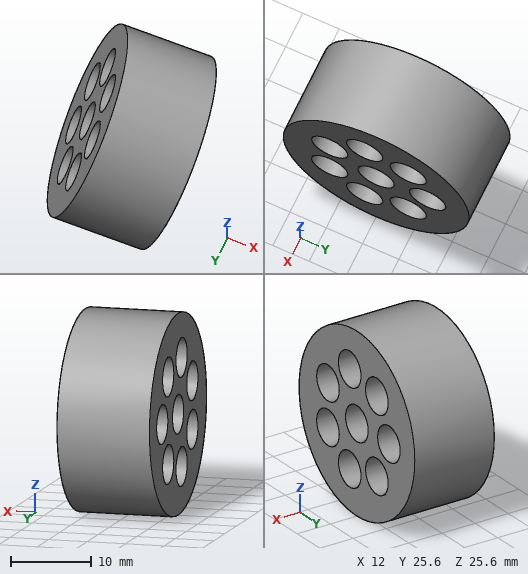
import cadquery as cq

disc_diameter = 25.6
disc_thickness = 12.0

hole_diameter = 5.0
ring_radius = 7.1
ring_hole_count = 7

disc = cq.Workplane("YZ").circle(disc_diameter / 2).extrude(disc_thickness)

center_hole = cq.Workplane("YZ").circle(hole_diameter / 2).extrude(disc_thickness)

ring_holes = (
    cq.Workplane("YZ")
    .polarArray(ring_radius, 0, 360, ring_hole_count)
    .circle(hole_diameter / 2)
    .extrude(disc_thickness)
)

result = disc.cut(center_hole).cut(ring_holes)